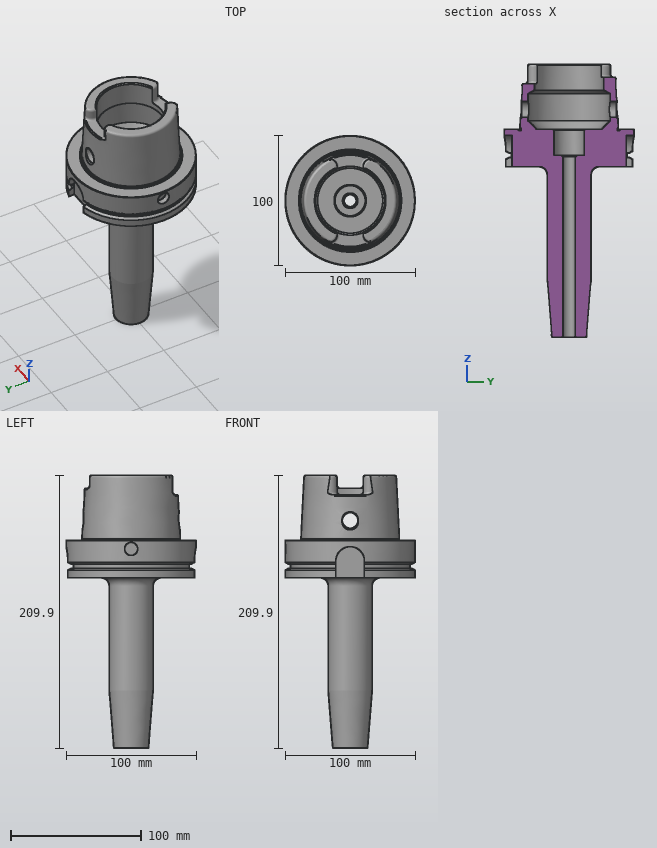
import cadquery as cq
import math

taper_length = 50.0
nose_z = -159.9
flange_bottom_z = -29.0
cone_start_z = -115.5

taper_slope = 0.05
taper_foot_radius = 37.87
taper_foot_z = 2.3
relief_radius = 37.2
relief_top_z = 1.0
relief_depth = 1.0
relief_lip_radius = 39.6
rim_fillet = 2.0

flange_radius = 50.0
groove_center_z = -20.0
groove_root_radius = 46.0
groove_root_width = 3.3
groove_flank_radius = 47.5
groove_flank_angle = 30.0
flange_edge = 0.4

shank_radius = 17.0
shank_fillet = 6.0
nose_radius = 13.5
nose_chamfer = 0.5

bore_radius = 26.5
bore_chamfer = 1.0
bore_lip_z = 30.0
clamp_radius = 31.5
clamp_shoulder_angle = 30.0
bore_floor_radius = 25.0
bore_floor_z = 0.0
tube_bore_radius = 11.6
tube_bore_chamfer = 0.8
tube_bore_floor_z = -20.0
through_radius = 4.6
through_chamfer = 1.3

slot_half_width = 10.0
slot_flare_radius = 5.7
slot_flare_reach = 31.95
slot_flare_turn = 31.0
slot_fillet = 2.0
slot_lip_chamfer = 1.0
front_slot_depth = 15.0
back_slot_depth = 10.0

cross_hole_radius = 6.0
cross_hole_z = 15.2
countersink_start = 36.3
countersink_reach = 2.0

keyway_radius = 11.0
keyway_top_z = -5.0
keyway_floor = 44.0
blind_hole_radius = 5.0
blind_hole_z = -6.7
blind_hole_depth = 5.0

clearance = 10.0


def taper_radius(z):
    return taper_foot_radius - taper_slope * (z - taper_foot_z)


def make_body():
    """Revolved outside of the holder, before any bore or slot is cut."""
    rim_start_z = taper_length - rim_fillet
    rim_radius = taper_radius(rim_start_z)
    rim_mid = rim_fillet * math.sqrt(0.5)
    flank_height = (flange_radius - groove_flank_radius) * math.tan(math.radians(groove_flank_angle))
    root_half = groove_root_width / 2
    lip_half = root_half + flank_height
    fillet_mid = shank_fillet * (1 - math.sqrt(0.5))
    profile = (
        cq.Workplane("XZ")
        .moveTo(0, nose_z)
        .lineTo(nose_radius - nose_chamfer, nose_z)
        .lineTo(nose_radius, nose_z + nose_chamfer)
        .lineTo(shank_radius, cone_start_z)
        .lineTo(shank_radius, flange_bottom_z - shank_fillet)
        .threePointArc(
            (shank_radius + fillet_mid, flange_bottom_z - fillet_mid),
            (shank_radius + shank_fillet, flange_bottom_z),
        )
        .lineTo(flange_radius, flange_bottom_z)
        .lineTo(flange_radius, groove_center_z - lip_half)
        .lineTo(groove_flank_radius, groove_center_z - root_half)
        .lineTo(groove_root_radius, groove_center_z - root_half)
        .lineTo(groove_root_radius, groove_center_z + root_half)
        .lineTo(groove_flank_radius, groove_center_z + root_half)
        .lineTo(flange_radius, groove_center_z + lip_half)
        .lineTo(flange_radius, -flange_edge)
        .lineTo(flange_radius - flange_edge, 0)
        .lineTo(relief_lip_radius, 0)
        .lineTo(relief_lip_radius - relief_depth, -relief_depth)
        .lineTo(relief_radius, -relief_depth)
        .lineTo(relief_radius, relief_top_z - (taper_foot_radius - relief_radius))
        .lineTo(taper_foot_radius, relief_top_z)
        .lineTo(taper_foot_radius, taper_foot_z)
        .lineTo(rim_radius, rim_start_z)
        .threePointArc(
            (rim_radius - rim_fillet + rim_mid, rim_start_z + rim_mid),
            (rim_radius - rim_fillet, taper_length),
        )
        .lineTo(0, taper_length)
        .close()
    )
    return profile.revolve(360, (0, 0, 0), (0, 1, 0))


def make_bore():
    """Stepped central bore: lipped clamping bore, coolant tube bore and through hole."""
    shoulder_height = (clamp_radius - bore_radius) * math.tan(math.radians(clamp_shoulder_angle))
    floor_chamfer = clamp_radius - bore_floor_radius
    profile = (
        cq.Workplane("XZ")
        .moveTo(0, taper_length)
        .lineTo(bore_radius + bore_chamfer, taper_length)
        .lineTo(bore_radius, taper_length - bore_chamfer)
        .lineTo(bore_radius, bore_lip_z)
        .lineTo(clamp_radius, bore_lip_z - shoulder_height)
        .lineTo(clamp_radius, bore_floor_z + floor_chamfer)
        .lineTo(bore_floor_radius, bore_floor_z)
        .lineTo(tube_bore_radius + tube_bore_chamfer, bore_floor_z)
        .lineTo(tube_bore_radius, bore_floor_z - tube_bore_chamfer)
        .lineTo(tube_bore_radius, tube_bore_floor_z)
        .lineTo(through_radius + through_chamfer, tube_bore_floor_z)
        .lineTo(through_radius, tube_bore_floor_z - through_chamfer)
        .lineTo(through_radius, nose_z)
        .lineTo(0, nose_z)
        .close()
    )
    return profile.revolve(360, (0, 0, 0), (0, 1, 0))


def make_jaw(side, floor_z):
    """Block left standing beside a +Y slot, rounded along its slot-side corner and top edge."""
    turn = math.radians(slot_flare_turn)
    center_x = slot_half_width + slot_flare_radius
    center_y = slot_flare_reach - slot_flare_radius
    arc_end_x = center_x + slot_flare_radius * math.sin(turn)
    arc_end_y = center_y + slot_flare_radius * math.cos(turn)
    outer_x = flange_radius
    outer_y = arc_end_y - (outer_x - arc_end_x) * math.tan(turn)
    mid_angle = (math.pi / 2 + turn) / 2
    arc_mid_x = center_x - slot_flare_radius * math.cos(mid_angle)
    arc_mid_y = center_y + slot_flare_radius * math.sin(mid_angle)
    jaw = (
        cq.Workplane("XY", origin=(0, 0, floor_z))
        .moveTo(side * slot_half_width, -clearance)
        .lineTo(side * slot_half_width, center_y)
        .threePointArc((side * arc_mid_x, arc_mid_y), (side * arc_end_x, arc_end_y))
        .lineTo(side * outer_x, outer_y)
        .lineTo(side * outer_x, -clearance)
        .close()
        .extrude(taper_length - floor_z)
    )
    wall_point = (side * slot_half_width, center_y / 2, taper_length)
    return jaw.edges(cq.selectors.NearestToPointSelector(wall_point)).fillet(slot_fillet)


def make_slot(depth):
    """Cutter for a driving slot opening towards +Y."""
    floor_z = taper_length - depth
    cutter = (
        cq.Workplane("XY", origin=(0, 0, floor_z))
        .rect(2 * flange_radius, flange_radius)
        .extrude(depth)
        .translate((0, flange_radius / 2, 0))
    )
    for side in (-1, 1):
        cutter = cutter.cut(make_jaw(side, floor_z))
    for side in (-1, 1):
        floor_edge = (side * slot_half_width, slot_flare_reach / 2, floor_z)
        cutter = cutter.edges(cq.selectors.NearestToPointSelector(floor_edge)).fillet(slot_fillet)
    return cutter


def make_slot_lip(depth):
    """Chamfer along the outer edge of a slot floor."""
    floor_z = taper_length - depth
    edge_radius = taper_radius(floor_z)
    ring = (
        cq.Workplane("XZ")
        .moveTo(edge_radius - slot_lip_chamfer, floor_z)
        .lineTo(edge_radius + slot_lip_chamfer, floor_z)
        .lineTo(edge_radius + slot_lip_chamfer, floor_z - 2 * slot_lip_chamfer)
        .close()
        .revolve(360, (0, 0, 0), (0, 1, 0))
    )
    span = (
        cq.Workplane("XY", origin=(0, flange_radius / 2, floor_z))
        .box(2 * (slot_half_width + slot_fillet), flange_radius, 2 * depth)
    )
    return ring.intersect(span)


def make_cross_hole():
    """Hole along Y through both taper walls, with a 45 degree countersink at each mouth."""
    mouth_y = countersink_start + countersink_reach
    profile = (
        cq.Workplane("XY")
        .moveTo(0, -mouth_y)
        .lineTo(cross_hole_radius + countersink_reach, -mouth_y)
        .lineTo(cross_hole_radius, -countersink_start)
        .lineTo(cross_hole_radius, countersink_start)
        .lineTo(cross_hole_radius + countersink_reach, mouth_y)
        .lineTo(0, mouth_y)
        .close()
    )
    return profile.revolve(360, (0, 0, 0), (0, 1, 0)).translate((0, 0, cross_hole_z))


def make_keyway():
    """Round-topped flange keyway on the +Y side, open at the flange underside."""
    center_z = keyway_top_z - keyway_radius
    return (
        cq.Workplane("XZ", origin=(0, keyway_floor, 0))
        .moveTo(-keyway_radius, flange_bottom_z)
        .lineTo(-keyway_radius, center_z)
        .threePointArc((0, keyway_top_z), (keyway_radius, center_z))
        .lineTo(keyway_radius, flange_bottom_z)
        .close()
        .extrude(-clearance)
    )


def make_blind_hole():
    """Blind hole entering the flange rim from -X."""
    return (
        cq.Workplane("YZ", origin=(-flange_radius, 0, blind_hole_z))
        .circle(blind_hole_radius)
        .extrude(blind_hole_depth)
    )


def turned_to_front(cutter):
    return cutter.rotate((0, 0, 0), (0, 0, 1), 180)


result = make_body().cut(make_bore())
result = result.cut(make_slot(back_slot_depth)).cut(make_slot_lip(back_slot_depth))
result = result.cut(turned_to_front(make_slot(front_slot_depth)))
result = result.cut(turned_to_front(make_slot_lip(front_slot_depth)))
result = result.cut(make_cross_hole())
result = result.cut(make_keyway()).cut(turned_to_front(make_keyway()))
result = result.cut(make_blind_hole())